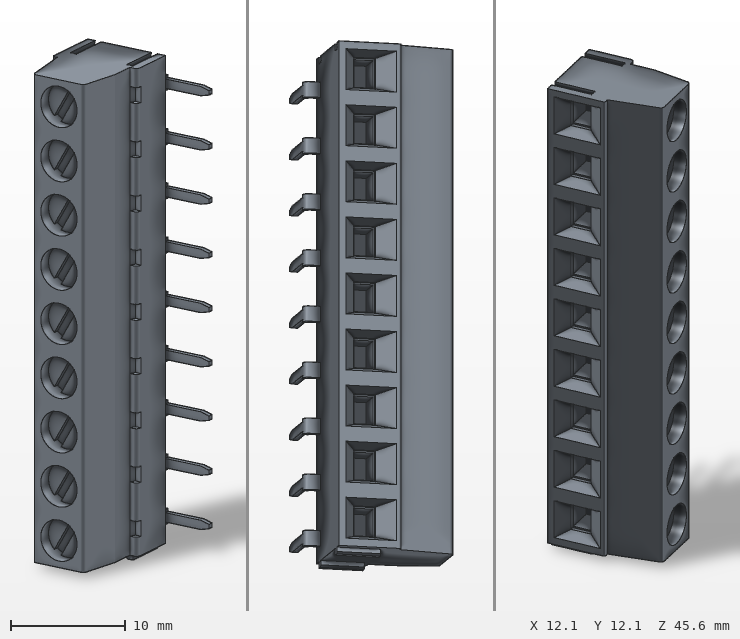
import cadquery as cq
overall_height = 45.6
pole_count = 9
body_height = 45.0
pitch = body_height / pole_count
body_depth = 10.62

body_width = 8.1
shoulder_x = 0.5
shoulder_y = 5.0
shoulder_fillet = 0.2
front_left_x = 1.28
front_right_x = 6.55
front_edge_fillet = 0.35
waist_x = 7.3
waist_y = 3.88
ledge_y = 6.2
ledge_fillet = 0.4

screw_x = 3.95
screw_diameter = 3.8
screw_depth = 1.25
driver_slot_width = 0.8
driver_slot_depth = 0.5
driver_slot_angle = 60

mouth_y = (5.45, 10.0)
mouth_height = 3.65
throat_y = (7.0, 9.0)
throat_height = 2.75
funnel_depth = 1.28
throat_depth = 0.35
clamp_lip = 0.15
clamp_back_lip = 0.05
clamp_depth = 2.5

pin_thickness = 0.5
pin_drop = 0.5
pin_x = 6.75
pin_shank_width = 1.35
pin_width = 0.85
pin_tip_width = 0.4
pin_tip_length = 0.85
pin_back_y = 12.1
pin_end_x = 12.05
pin_bend_radius = 0.5
pin_narrow_x = 7.45

notch_height = 1.45
notch_depth = 0.5
notch_ramp = 0.27

rib_x_positions = (0.7, 6.55)
rib_width = 0.75
rib_height = overall_height - body_height
rib_front_y = 6.7
rib_neck_inset = 0.1
rib_tip_inset = 0.2
rib_tip_bevel = 0.2

pole_centers = [(pole + 0.5) * pitch for pole in range(pole_count)]


def box(x_range, y_range, z_range):
    """Axis-aligned box between the given limits."""
    size = [limits[1] - limits[0] for limits in (x_range, y_range, z_range)]
    corner = (x_range[0], y_range[0], z_range[0])
    return cq.Workplane("XY").box(*size, centered=False).translate(corner)


def make_housing():
    outline = [
        (0, body_depth),
        (0, shoulder_y),
        (shoulder_x, shoulder_y),
        (front_left_x, 0),
        (front_right_x, 0),
        (waist_x, waist_y),
        (waist_x, ledge_y),
        (body_width, ledge_y),
        (body_width, body_depth),
    ]
    housing = cq.Workplane("XY").polyline(outline).close().extrude(body_height)
    housing = housing.faces("<Y").edges("|Z").fillet(front_edge_fillet)
    middle_z = body_height / 2
    shoulder_corner = cq.selectors.NearestToPointSelector((0, shoulder_y, middle_z))
    ledge_corner = cq.selectors.NearestToPointSelector((body_width, ledge_y, middle_z))
    housing = housing.edges(shoulder_corner).fillet(shoulder_fillet)
    return housing.edges(ledge_corner).fillet(ledge_fillet)


def make_screw_cylinder(z, depth):
    return cq.Workplane("XZ", origin=(screw_x, 0, z)).circle(screw_diameter / 2).extrude(-depth)


def make_screw_well(z):
    """Round well down to the screw head, with the driver slot sunk into the head."""
    slot = (
        cq.Workplane("XZ", origin=(screw_x, screw_depth, z))
        .transformed(rotate=(0, 0, driver_slot_angle))
        .rect(screw_diameter, driver_slot_width)
        .extrude(-driver_slot_depth)
        .intersect(make_screw_cylinder(z, screw_depth + driver_slot_depth))
    )
    return make_screw_cylinder(z, screw_depth).union(slot)


def make_wire_entry(z):
    mouth_center = sum(mouth_y) / 2
    throat_center = sum(throat_y) / 2
    mouth_length = mouth_y[1] - mouth_y[0]
    throat_length = throat_y[1] - throat_y[0]
    funnel = (
        cq.Workplane("YZ", origin=(0, mouth_center, z))
        .rect(mouth_length, mouth_height)
        .workplane(offset=funnel_depth)
        .center(throat_center - mouth_center, 0)
        .rect(throat_length, throat_height)
        .loft(ruled=True)
    )
    throat_end = funnel_depth + throat_depth
    throat = box(
        (funnel_depth, throat_end),
        throat_y,
        (z - throat_height / 2, z + throat_height / 2),
    )
    clamp_half_height = throat_height / 2 - clamp_lip
    clamp = box(
        (throat_end, throat_end + clamp_depth),
        (throat_y[0] + clamp_lip, throat_y[1] - clamp_back_lip),
        (z - clamp_half_height, z + clamp_half_height),
    )
    return funnel.union(throat).union(clamp)


def make_ledge_notch(z):
    notch_bottom = z - notch_height / 2
    outline = [
        (waist_x, ledge_y),
        (body_width, ledge_y),
        (body_width, ledge_y + notch_depth),
        (waist_x + notch_ramp, ledge_y + notch_depth),
    ]
    return cq.Workplane("XY", origin=(0, 0, notch_bottom)).polyline(outline).close().extrude(notch_height)


def make_pin(z):
    pin_front_y = pin_back_y - pin_thickness
    shank_z = (z - pin_shank_width / 2, z + pin_shank_width / 2)
    upright = box((pin_x, pin_x + pin_thickness), (ledge_y, pin_back_y), shank_z)
    elbow = box((pin_x, pin_narrow_x), (pin_front_y, pin_back_y), shank_z)
    shank = upright.union(elbow).edges("|Z and <X and >Y").fillet(pin_bend_radius)
    tip_start_x = pin_end_x - pin_tip_length
    outline = [
        (pin_narrow_x, z - pin_width / 2),
        (tip_start_x, z - pin_width / 2),
        (pin_end_x, z - pin_tip_width / 2),
        (pin_end_x, z + pin_tip_width / 2),
        (tip_start_x, z + pin_width / 2),
        (pin_narrow_x, z + pin_width / 2),
    ]
    blade = cq.Workplane("XZ", origin=(0, pin_front_y, 0)).polyline(outline).close().extrude(-pin_thickness)
    return shank.union(blade)


def make_rib(x, root_z):
    """Rib hanging from root_z, undercut on its -X flank and bevelled at the tip."""
    tip_z = root_z - rib_height
    outline = [
        (x + rib_neck_inset, root_z),
        (x, tip_z + rib_tip_bevel),
        (x + rib_tip_inset, tip_z),
        (x + rib_width, tip_z),
        (x + rib_width, root_z),
    ]
    length = body_depth - rib_front_y
    return cq.Workplane("XZ", origin=(0, rib_front_y, 0)).polyline(outline).close().extrude(-length)


result = make_housing()
for center in pole_centers:
    result = result.cut(make_screw_well(center))
    result = result.cut(make_wire_entry(center))
    result = result.cut(make_ledge_notch(center))
    result = result.union(make_pin(center - pin_drop))
for rib_x in rib_x_positions:
    result = result.cut(make_rib(rib_x, body_height))
    result = result.union(make_rib(rib_x, 0))